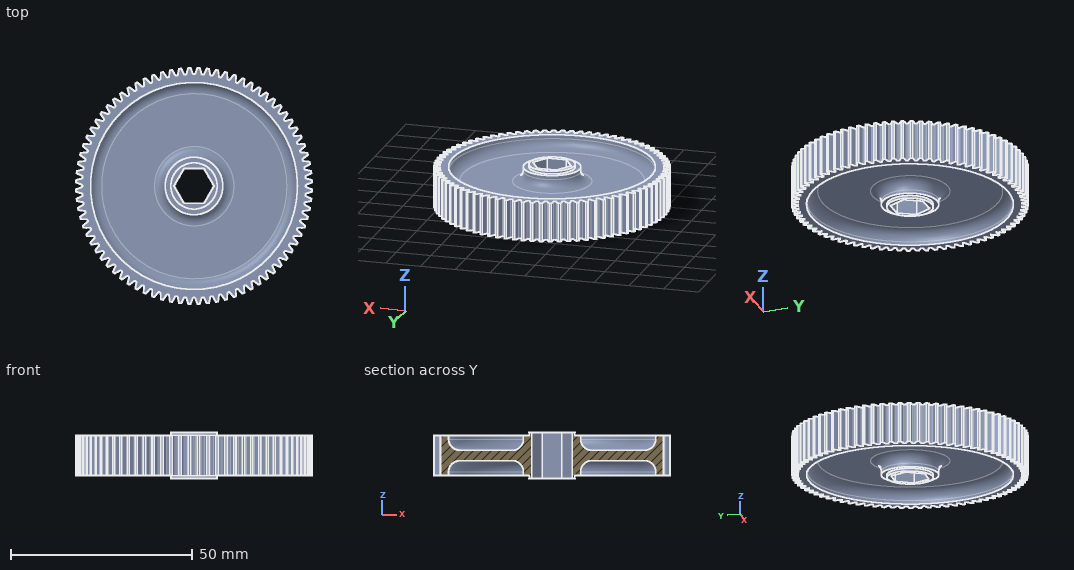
import cadquery as cq
import math


tooth_count = 80
module = 0.795
pressure_angle = math.radians(20)
dedendum = 1.25 * module
flank_points = 5
round_iterations = 20

pitch_radius = module * tooth_count / 2
base_radius = pitch_radius * math.cos(pressure_angle)
tip_radius = pitch_radius + module
root_radius = pitch_radius - dedendum
tooth_pitch = 2 * math.pi / tooth_count

total_height = 12.7
face_width = 11.1
web_thickness = 3.0

fillet_radius = 3.0
rim_inner_radius = 28.5
hub_radius = 7.95
boss_radius = 6.4
hex_across_flats = 9.5


def polar(radius, angle):
    return (radius * math.cos(angle), radius * math.sin(angle))


def involute(radius):
    """Polar angle swept by the involute from the base circle to the given radius."""
    angle = math.acos(base_radius / radius)
    return math.tan(angle) - angle


def half_tooth_angle(radius):
    """Angle between a tooth's centre line and its flank at the given radius."""
    return tooth_pitch / 4 + involute(pitch_radius) - involute(radius)


def root_round_radius():
    """Radius of the arc that touches the root circle and both flanks of a tooth gap."""
    radius = 0
    for _ in range(round_iterations):
        half_gap_angle = tooth_pitch / 2 - half_tooth_angle(root_radius + radius)
        radius = base_radius * half_gap_angle
    return radius


def flank_start_radius():
    """Distance from the axis at which the root round runs into the involute flank."""
    round_radius = root_round_radius()
    centre_tangent_length = math.sqrt((root_radius + round_radius) ** 2 - base_radius ** 2)
    return math.hypot(base_radius, centre_tangent_length - round_radius)


def make_toothed_blank():
    start_radius = flank_start_radius()
    start_half_angle = half_tooth_angle(start_radius)
    step = (tip_radius - start_radius) / (flank_points - 1)
    radii = [start_radius + i * step for i in range(flank_points)]

    first_tooth = tooth_pitch / 2
    outline = cq.Workplane("XY").workplane(offset=-face_width / 2)
    outline = outline.moveTo(*polar(start_radius, first_tooth - start_half_angle))
    for tooth in range(tooth_count):
        centre = first_tooth + tooth * tooth_pitch
        next_centre = centre + tooth_pitch
        rising = [polar(r, centre - half_tooth_angle(r)) for r in radii]
        falling = [polar(r, centre + half_tooth_angle(r)) for r in reversed(radii)]
        gap_bottom = polar(root_radius, centre + tooth_pitch / 2)
        next_start = polar(start_radius, next_centre - start_half_angle)
        outline = (
            outline
            .spline(rising[1:], includeCurrent=True)
            .threePointArc(polar(tip_radius, centre), falling[0])
            .spline(falling[1:], includeCurrent=True)
            .threePointArc(gap_bottom, next_start)
        )
    return outline.close().extrude(face_width)


def make_dish():
    """Ring-shaped recess above the web, filleted at the foot of the rim and of the hub."""
    floor = web_thickness / 2
    top = total_height
    bend = fillet_radius * (1 - math.sqrt(0.5))
    inner_floor = hub_radius + fillet_radius
    outer_floor = rim_inner_radius - fillet_radius
    return (
        cq.Workplane("XZ")
        .moveTo(hub_radius, top)
        .lineTo(hub_radius, floor + fillet_radius)
        .threePointArc((hub_radius + bend, floor + bend), (inner_floor, floor))
        .lineTo(outer_floor, floor)
        .threePointArc(
            (rim_inner_radius - bend, floor + bend),
            (rim_inner_radius, floor + fillet_radius),
        )
        .lineTo(rim_inner_radius, top)
        .close()
        .revolve(360, (0, 0, 0), (0, 1, 0))
    )


def cylinder(radius, height):
    return cq.Workplane("XY").circle(radius).extrude(height / 2, both=True)


def make_hex_bore():
    hex_across_corners = hex_across_flats / math.cos(math.pi / 6)
    return cq.Workplane("XY").polygon(6, hex_across_corners).extrude(total_height, both=True)


dish = make_dish()
result = (
    make_toothed_blank()
    .cut(dish)
    .cut(dish.mirror("XY"))
    .union(cylinder(boss_radius, total_height))
    .cut(make_hex_bore())
)